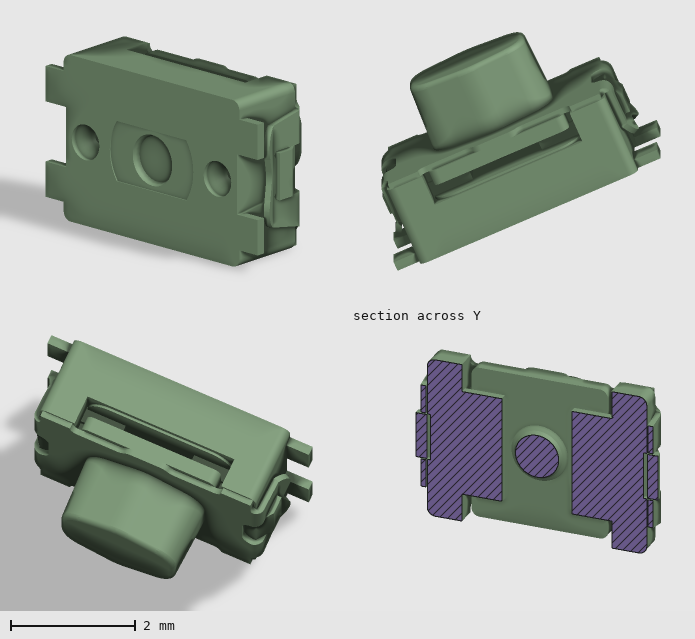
import cadquery as cq
import math


body_half_x = 1.905
body_size_z = 2.8
body_half_z = body_size_z / 2
body_height = 1.32
body_corner_radius = 0.145

tab_reach = 2.3
tab_thickness = 0.15
tab_inner_z = 0.505
tab_outer_z = 1.1

recess_depth = 0.055
recess_top = 1.01
recess_top_half_z = 0.395

pit_offset = 1.43
pit_diameter = 0.6
pit_rim_depth = 0.09
pit_depth = 0.345
pit_floor_diameter = 0.2
pit_flare = 0.3
label_diameter = 1.812
label_half_z = tab_inner_z
label_depth = 0.025
gate_diameter = 0.875
gate_floor_diameter = 0.765
gate_depth = 0.14

slot_half_x = 1.293
slot_floor = 0.815
platform_half_x = 1.28
platform_half_z = 1.31
platform_top = 0.855
platform_corner_radius = 0.39
post_inner_x = 0.603
post_half_z = 0.92
shoulder_half_z = 0.83

flange_bottom = 1.08
flange_half_x = 1.178
flange_half_z = 1.33
flange_corner_radius = 0.135
key_half_x = 0.258
button_top = 2.52
button_base_half_x = 1.05
button_top_half_x = 1.0
button_base_crown_z = 0.81
button_top_crown_z = 0.74
button_crown_half_x = 0.17
button_crown_rise = 0.025
button_flank_end_x = 0.662
button_flank_drop = 0.125
button_side_half_z = 0.19
button_rim_radius = 0.085
dome_top_radius = 0.488
dome_neck_radius = 0.42
dome_neck_height = 1.025
dome_tip_radius = 0.315

sheet = 0.095
cover_top = body_height + sheet
cover_half_x = 1.85
cover_half_z = 1.355
cover_corner_z = 1.13
cutback_outer_x = 1.33
cutback_radius = 0.135
cutback_z = cover_half_z - cutback_radius
lug_outer_x = 0.52
lug_middle_x = 0.38
lug_z = flange_half_z

wing_outer_x = 2.015
bend_radius = wing_outer_x - cover_half_x
wing_root_half_z = 0.995
wing_tip_half_z = 0.855
wing_bottom = 0.695
flap_angle = math.radians(27.6)
lobe_z = 0.515
lobe_length = 0.25
lobe_outer_mid = (0.73, 0.18)
lobe_inner_mid = (0.425, 0.235)
valley_slope_start = (0.34, 0.202)
valley_slope_end = (0.11, 0.125)
valley_length = 0.105
window_half_z = 0.415
window_relief_inner_z = 0.275
window_relief_z = 0.345
window_relief_bottom = 0.715
window_inner_x = 1.7
window_corner_radius = 0.185

latch_reach = 2.098
latch_half_z = 0.395
latch_bottom = 0.755
latch_shoulder = 1.055


def plan(height):
    """Workplane parallel to the mounting face, extruding along +Y (local x = X, local y = -Z)."""
    return cq.Workplane(cq.Plane((0, height, 0), xDir=(1, 0, 0), normal=(0, 1, 0)))


def block(half_x, half_z, bottom, top):
    """Box centred on the Y axis."""
    return plan(bottom).rect(2 * half_x, 2 * half_z).extrude(top - bottom)


def both_ends(solid):
    """The solid at the +X end together with its mirror image at the -X end."""
    return solid.union(solid.mirror("YZ"))


def make_base():
    base = block(body_half_x, body_half_z, 0, body_height)
    base = base.edges("|Y").fillet(body_corner_radius)
    recess_mouth = body_half_x - recess_depth
    recess = (
        cq.Workplane("ZY", origin=(recess_mouth, 0, 0))
        .polyline([
            (-tab_inner_z, 0),
            (-recess_top_half_z, recess_top),
            (recess_top_half_z, recess_top),
            (tab_inner_z, 0),
        ])
        .close()
        .extrude(-2 * recess_depth)
    )
    base = base.cut(both_ends(recess))
    tab_width = tab_outer_z - tab_inner_z
    tab_length = tab_reach - recess_mouth
    tabs = (
        plan(0)
        .rect(tab_reach + recess_mouth, tab_outer_z + tab_inner_z, forConstruction=True)
        .vertices()
        .rect(tab_length, tab_width)
        .extrude(tab_thickness)
    )
    return base.union(tabs)


def cut_mounting_face(base):
    label = plan(0).circle(label_diameter / 2).extrude(label_depth)
    label = label.intersect(block(label_diameter, label_half_z, 0, label_depth))
    gate = (
        plan(0)
        .circle(gate_diameter / 2)
        .workplane(offset=gate_depth)
        .circle(gate_floor_diameter / 2)
        .loft()
    )
    rim_radius = pit_diameter / 2
    floor_radius = pit_floor_diameter / 2
    flare_mid_radius = floor_radius + pit_flare * (rim_radius - floor_radius)
    flare_mid = (flare_mid_radius, (pit_rim_depth + pit_depth) / 2)
    pit = (
        cq.Workplane("XY")
        .lineTo(rim_radius, 0)
        .lineTo(rim_radius, pit_rim_depth)
        .threePointArc(flare_mid, (floor_radius, pit_depth))
        .lineTo(0, pit_depth)
        .close()
        .revolve(360, (0, 0), (0, 1))
    )
    pits = both_ends(pit.translate((pit_offset, 0, 0)))
    return base.cut(label).cut(gate).cut(pits)


def cut_slot(base):
    slot = block(slot_half_x, body_half_z, slot_floor, body_height)
    platform = block(platform_half_x, platform_half_z, slot_floor, platform_top)
    platform = platform.edges("|Y").fillet(platform_corner_radius)
    posts = block(slot_half_x, post_half_z, slot_floor, flange_bottom)
    posts = posts.cut(block(post_inner_x, post_half_z, slot_floor, flange_bottom))
    shoulders = block(slot_half_x, shoulder_half_z, slot_floor, body_height)
    shoulders = shoulders.cut(block(flange_half_x, shoulder_half_z, slot_floor, body_height))
    return base.cut(slot).union(platform).union(posts).union(shoulders)


def side_arc_mid(side_x, flank_end_z):
    """Middle of the arc that leaves a flat button side tangentially and ends on the sloping flank."""
    run = abs(side_x) - button_flank_end_x
    rise = abs(flank_end_z) - button_side_half_z
    radius = (run**2 + rise**2) / (2 * run)
    half_sweep = math.atan2(run, rise)
    mid_x = abs(side_x) - radius * (1 - math.cos(half_sweep))
    mid_z = button_side_half_z + radius * math.sin(half_sweep)
    return (math.copysign(mid_x, side_x), math.copysign(mid_z, flank_end_z))


def button_outline(plane, half_x, crown_z):
    """Closed outline: flat sides broad corner arcs, sloping flanks and a domed crown at each Z end."""
    shoulder_z = crown_z - button_crown_rise
    flank_end_z = shoulder_z - button_flank_drop
    return (
        plane
        .moveTo(half_x, -button_side_half_z)
        .lineTo(half_x, button_side_half_z)
        .threePointArc(side_arc_mid(half_x, flank_end_z), (button_flank_end_x, flank_end_z))
        .lineTo(button_crown_half_x, shoulder_z)
        .threePointArc((0, crown_z), (-button_crown_half_x, shoulder_z))
        .lineTo(-button_flank_end_x, flank_end_z)
        .threePointArc(side_arc_mid(-half_x, flank_end_z), (-half_x, button_side_half_z))
        .lineTo(-half_x, -button_side_half_z)
        .threePointArc(side_arc_mid(-half_x, -flank_end_z), (-button_flank_end_x, -flank_end_z))
        .lineTo(-button_crown_half_x, -shoulder_z)
        .threePointArc((0, -crown_z), (button_crown_half_x, -shoulder_z))
        .lineTo(button_flank_end_x, -flank_end_z)
        .threePointArc(side_arc_mid(half_x, -flank_end_z), (half_x, -button_side_half_z))
        .close()
    )


def make_button():
    button_height = button_top - body_height
    cap = button_outline(plan(body_height), button_base_half_x, button_base_crown_z)
    cap = cap.workplane(offset=button_height)
    cap = button_outline(cap, button_top_half_x, button_top_crown_z).loft(ruled=True)
    cap = cap.faces(">Y").edges().fillet(button_rim_radius)
    flange = block(flange_half_x, flange_half_z, flange_bottom, body_height)
    flange = flange.edges("|Y").fillet(flange_corner_radius)
    key = block(key_half_x, flange_half_z, body_height, cover_top)
    dome = (
        cq.Workplane("XY")
        .moveTo(0, platform_top)
        .lineTo(dome_tip_radius, platform_top)
        .lineTo(dome_neck_radius, dome_neck_height)
        .lineTo(dome_top_radius, flange_bottom)
        .lineTo(0, flange_bottom)
        .close()
        .revolve(360, (0, 0), (0, 1))
    )
    return cap.union(flange).union(key).union(dome)


def make_cover_plate():
    cutback_inner_x = cutback_outer_x - cutback_radius
    lug_middle_z = (lug_z + cutback_z) / 2
    cutback_mid = (
        cutback_inner_x + cutback_radius * math.sin(math.pi / 4),
        cover_half_z - cutback_radius * math.cos(math.pi / 4),
    )
    quarter = (
        plan(body_height)
        .lineTo(0, lug_z)
        .lineTo(key_half_x, lug_z)
        .tangentArcPoint((lug_middle_x, lug_middle_z), relative=False)
        .tangentArcPoint((lug_outer_x, cutback_z), relative=False)
        .lineTo(cutback_inner_x, cutback_z)
        .threePointArc(cutback_mid, (cutback_outer_x, cover_half_z))
        .lineTo(cover_half_x, cover_half_z)
        .lineTo(cover_half_x, 0)
        .close()
        .extrude(sheet)
    )
    half = quarter.union(quarter.mirror("XY"))
    return half.union(half.mirror("YZ"))


def make_wing():
    """Wing at the +X end: bent down from the cover, with a lobed flap splayed outwards."""
    wing_inner_x = wing_outer_x - sheet
    bend_y = cover_top - bend_radius
    diagonal = math.sin(math.pi / 4)
    inner_bend_radius = bend_radius - sheet
    mitre = sheet * math.tan(flap_angle / 2)
    strip = (
        cq.Workplane("XY", origin=(0, 0, -cover_corner_z))
        .moveTo(cover_half_x, cover_top)
        .threePointArc(
            (cover_half_x + bend_radius * diagonal, bend_y + bend_radius * diagonal),
            (wing_outer_x, bend_y),
        )
        .lineTo(wing_outer_x, wing_bottom)
        .lineTo(wing_inner_x, wing_bottom - mitre)
        .lineTo(wing_inner_x, bend_y)
        .threePointArc(
            (cover_half_x + inner_bend_radius * diagonal, bend_y + inner_bend_radius * diagonal),
            (cover_half_x, body_height),
        )
        .close()
        .extrude(2 * cover_corner_z)
    )
    outline = (
        cq.Workplane("ZY", origin=(wing_outer_x, 0, 0))
        .polyline([
            (wing_root_half_z, cover_top),
            (wing_tip_half_z, wing_bottom),
            (wing_tip_half_z, wing_bottom - mitre),
            (-wing_tip_half_z, wing_bottom - mitre),
            (-wing_tip_half_z, wing_bottom),
            (-wing_root_half_z, cover_top),
        ])
        .close()
        .extrude(wing_outer_x - cover_half_x)
    )

    fillet_radius = cover_corner_z - wing_root_half_z
    fillet_x = cover_half_x + fillet_radius
    root = block(fillet_x, cover_corner_z, body_height, cover_top)
    root = root.cut(
        plan(body_height)
        .pushPoints([(fillet_x, cover_corner_z), (fillet_x, -cover_corner_z)])
        .circle(fillet_radius)
        .extrude(sheet)
    )

    def mirrored(point):
        return (-point[0], point[1])

    flap_plane = cq.Plane(
        (wing_outer_x, wing_bottom, 0),
        xDir=(0, 0, 1),
        normal=(math.cos(flap_angle), math.sin(flap_angle), 0),
    )
    lobe_tip = (lobe_z, lobe_length)
    flap = (
        cq.Workplane(flap_plane)
        .moveTo(-wing_tip_half_z, -mitre)
        .lineTo(wing_tip_half_z, -mitre)
        .lineTo(wing_tip_half_z, 0)
        .threePointArc(lobe_outer_mid, lobe_tip)
        .threePointArc(lobe_inner_mid, valley_slope_start)
        .lineTo(*valley_slope_end)
        .threePointArc((0, valley_length), mirrored(valley_slope_end))
        .lineTo(*mirrored(valley_slope_start))
        .threePointArc(mirrored(lobe_inner_mid), mirrored(lobe_tip))
        .threePointArc(mirrored(lobe_outer_mid), (-wing_tip_half_z, 0))
        .close()
        .extrude(-sheet)
    )
    return strip.intersect(outline.union(root)).union(flap)


def make_window():
    """Cutter for the latch window, running from the cover plate down the +X wing."""
    window = (
        cq.Workplane("ZY", origin=(wing_outer_x, 0, 0))
        .polyline([
            (-window_half_z, cover_top),
            (-window_half_z, latch_bottom),
            (-window_relief_z, window_relief_bottom),
            (-window_relief_inner_z, latch_bottom),
            (window_relief_inner_z, latch_bottom),
            (window_relief_z, window_relief_bottom),
            (window_half_z, latch_bottom),
            (window_half_z, cover_top),
        ])
        .close()
        .extrude(wing_outer_x - window_inner_x)
    )
    return window.edges("|Y and <X").fillet(window_corner_radius)


def make_latch():
    """Wedge on the +X end of the base that snaps into the wing window."""
    return (
        cq.Workplane("XY", origin=(0, 0, -latch_half_z))
        .polyline([
            (body_half_x, body_height),
            (latch_reach, latch_shoulder),
            (latch_reach, latch_bottom),
            (body_half_x, latch_bottom),
        ])
        .close()
        .extrude(2 * latch_half_z)
    )


def make_cover():
    wings = both_ends(make_wing())
    return make_cover_plate().union(wings).cut(both_ends(make_window()))


base = cut_slot(cut_mounting_face(make_base()))
latches = both_ends(make_latch())
result = base.union(latches).union(make_cover()).union(make_button())